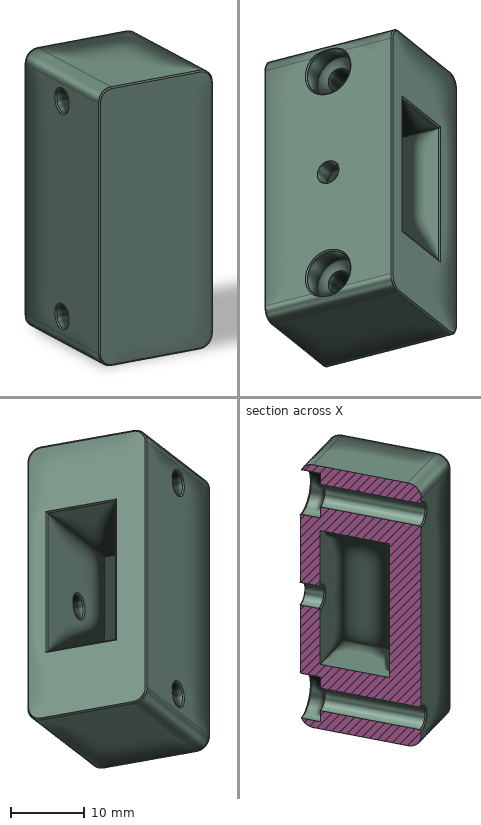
import cadquery as cq

width = 20.0
depth = 18.0
height = 40.0
corner_radius = 2.0
edge_chamfer = 0.2

pocket_width = 10.25
pocket_height = 20.25
pocket_center_y = 0.9
pocket_end_wall = 2.0
pocket_depth = width - pocket_end_wall

hole_diameter = 3.35
hole_chamfer = 0.2
hole_height = 15.5
counterbore_diameter = 6.7
counterbore_depth = 3.0

side_hole_diameter = 3.35

front_y = -depth / 2
back_y = depth / 2
left_x = -width / 2


def block():
    body = cq.Workplane("XY").box(width, depth, height)
    body = body.edges("|X").fillet(corner_radius)
    return body.faces("<X or >X").edges().chamfer(edge_chamfer)


def pocket():
    cavity = (
        cq.Workplane("YZ", origin=(left_x, pocket_center_y, 0))
        .rect(pocket_width, pocket_height)
        .extrude(pocket_depth)
    )
    mouth = (
        cq.Workplane("YZ", origin=(left_x, pocket_center_y, 0))
        .rect(pocket_width + 2 * edge_chamfer, pocket_height + 2 * edge_chamfer)
        .extrude(edge_chamfer, taper=45)
    )
    return cavity.union(mouth)


def rod_along_y(diameter, start_y, length, z):
    return (
        cq.Workplane("XZ", origin=(0, start_y, z))
        .circle(diameter / 2)
        .extrude(-length)
    )


def chamfer_cone(diameter, start_y, z, inward):
    """Conical mouth of a hole; inward is +1 for a cut toward +Y, -1 toward -Y."""
    return (
        cq.Workplane("XZ", origin=(0, start_y, z))
        .circle(diameter / 2 + hole_chamfer)
        .extrude(-inward * hole_chamfer, taper=45)
    )


def mounting_hole(z):
    bore = rod_along_y(hole_diameter, front_y, depth, z)
    counterbore = rod_along_y(counterbore_diameter, back_y - counterbore_depth, counterbore_depth, z)
    front_mouth = chamfer_cone(hole_diameter, front_y, z, 1)
    back_mouth = chamfer_cone(counterbore_diameter, back_y, z, -1)
    return bore.union(counterbore).union(front_mouth).union(back_mouth)


def side_hole():
    wall_y = pocket_center_y + pocket_width / 2
    bore = rod_along_y(side_hole_diameter, wall_y, back_y - wall_y, 0)
    return bore.union(chamfer_cone(side_hole_diameter, wall_y, 0, 1))


result = block().cut(pocket()).cut(side_hole())
for z in (-hole_height, hole_height):
    result = result.cut(mounting_hole(z))